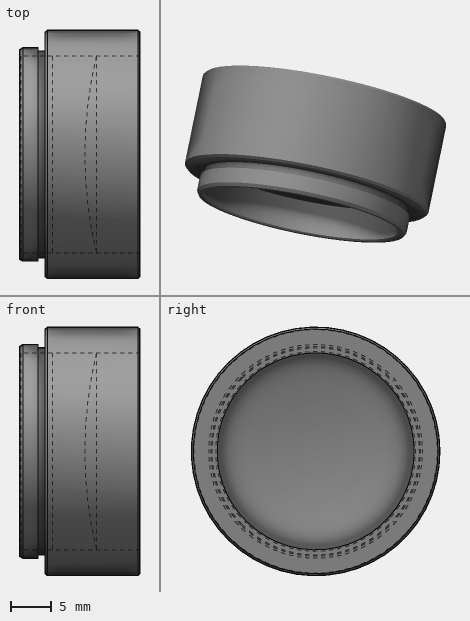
import cadquery as cq
import math

body_radius = 15.25
total_length = 14.72

thread_radius = 13.1
neck_radius = 12.7
neck_start = 2.25
shoulder_start = 3.08
thread_chamfer_length = 0.4
thread_chamfer_depth = 0.25
shoulder_chamfer = 0.3
rear_chamfer = 0.25

bore_radius = 12.07
bore_chamfer = 0.18

lens_front = 4.0
lens_center_thickness = 4.0
lens_curvature_radius = 51.5


def revolve_about_x(profile):
    """Turn a closed (X, radius) profile fully around the X axis."""
    return profile.close().revolve(360, (0, 0, 0), (1, 0, 0))


def make_housing():
    """Stepped ring with a male thread spigot, a relief neck and a plain through bore."""
    return revolve_about_x(
        cq.Workplane("XY")
        .moveTo(0, bore_radius + bore_chamfer)
        .lineTo(0, thread_radius - thread_chamfer_depth)
        .lineTo(thread_chamfer_length, thread_radius)
        .lineTo(neck_start, thread_radius)
        .lineTo(neck_start, neck_radius)
        .lineTo(shoulder_start, neck_radius)
        .lineTo(shoulder_start, body_radius - shoulder_chamfer)
        .lineTo(shoulder_start + shoulder_chamfer, body_radius)
        .lineTo(total_length - rear_chamfer, body_radius)
        .lineTo(total_length, body_radius - rear_chamfer)
        .lineTo(total_length, bore_radius)
        .lineTo(bore_chamfer, bore_radius)
    )


def make_lens():
    """Disc that fills the bore, flat in front and spherically hollowed behind."""
    vertex = lens_front + lens_center_thickness

    def hollow_face_x(radius):
        center = vertex + lens_curvature_radius
        return center - math.sqrt(lens_curvature_radius**2 - radius**2)

    middle_radius = bore_radius / 2
    return revolve_about_x(
        cq.Workplane("XY")
        .moveTo(lens_front, 0)
        .lineTo(lens_front, bore_radius)
        .lineTo(hollow_face_x(bore_radius), bore_radius)
        .threePointArc((hollow_face_x(middle_radius), middle_radius), (vertex, 0))
    )


housing = make_housing()
lens = make_lens()

result = cq.Compound.makeCompound([housing.val(), lens.val()])